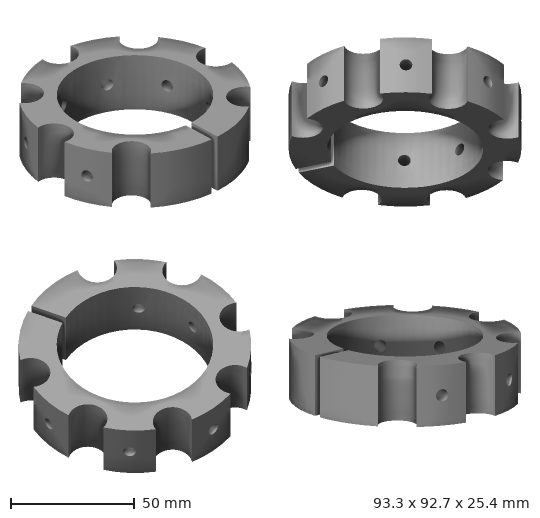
import cadquery as cq
import math

outer_radius = 47.0
bore_radius = 31.62
height = 25.4
mid_height = height / 2

station_count = 8
station_pitch = 360 / station_count
scallop_diameter = 15.875
scallop_pitch_radius = 44.77

slot_width = 3.175

radial_hole_diameter = 5.11


def make_ring():
    """Flat ring standing on the XY plane."""
    return cq.Workplane("XY").circle(outer_radius).circle(bore_radius).extrude(height)


def make_slot():
    """Straight slot from the ring axis outward along +X."""
    slot = cq.Workplane("XY").rect(outer_radius, slot_width).extrude(height)
    return slot.translate((outer_radius / 2, 0, 0))


def make_scallop(angle):
    """Vertical cylinder that cuts one rim scallop."""
    x = scallop_pitch_radius * math.cos(math.radians(angle))
    y = scallop_pitch_radius * math.sin(math.radians(angle))
    return cq.Workplane("XY").center(x, y).circle(scallop_diameter / 2).extrude(height)


def make_radial_hole(angle):
    """Horizontal cylinder from the ring axis outward through the wall."""
    profile = cq.Workplane("YZ").center(0, mid_height).circle(radial_hole_diameter / 2)
    hole = profile.extrude(outer_radius)
    return hole.rotate((0, 0, 0), (0, 0, 1), angle)


result = make_ring().cut(make_slot())

for station in range(1, station_count):
    scallop_angle = station * station_pitch
    result = result.cut(make_scallop(scallop_angle))

for station in range(1, station_count - 1):
    hole_angle = station * station_pitch + station_pitch / 2
    result = result.cut(make_radial_hole(hole_angle))